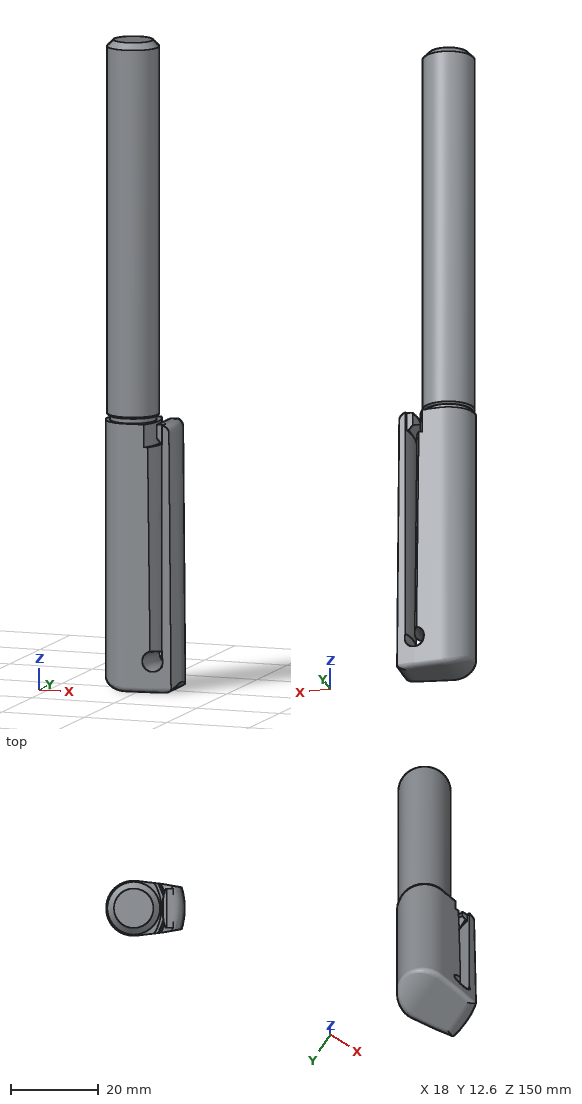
import cadquery as cq
import math

TOTAL_LENGTH = 150.0
BARREL_DIAMETER = 12.0
BARREL_BOTTOM = 63.2
END_CHAMFER = 1.5
MOUTH_CHAMFER = 0.5
NECK_DIAMETER = 10.6
NECK_BOTTOM = 15.0

CAP_HEIGHT = 62.1
CAP_RADIUS = 6.3
CAP_BACK_BOTTOM = 11.7
CLIP_LEAN_ANGLE = 0.5
CAP_BACK_TOP = CAP_BACK_BOTTOM - CAP_HEIGHT * math.tan(math.radians(CLIP_LEAN_ANGLE))
BACK_BULGE = 0.8
TANGENT_X = 0.8
KNEE_X = 6.6
BACK_HALF_WIDTH = 4.8
FRONT_RISE = 2.4
FRONT_RISE_START_X = 0.0
BACK_CORNER_RADIUS = 3.0
BACK_CORNER_CLEARANCE = 0.2
BOTTOM_FILLET = 1.2
CLIP_TOP_RADIUS = 1.8

SLOT_HALF_WIDTH = 6.8
SLOT_BOTTOM = 7.4
SLOT_TOP = CAP_HEIGHT + 1.5
WALL_X_BOTTOM = 7.6
WALL_X_TOP = 7.0
WALL_BULGE = 2.2
CLIP_X = 8.2
CLIP_BULGE = 1.0
MOUTH_BOTTOM = 56.8
MOUTH_WALL_X = 6.3
HOLE_X = 6.8
HOLE_DIAMETER = 3.8
HOLE_FLARE = 0.8
HOOK_NOSE_X = 6.5
HOOK_HALF_WIDTH = 4.5
HOOK_BULGE = 0.9
HOOK_TOP = 61.6
HOOK_BOTTOM = 57.9
HOOK_ROOT_X = 9.0
HOOK_TIP_X = 7.5
HOOK_NOSE_HEIGHT = 2.0
HOOK_NOSE_DEPTH = 0.3


def make_pen():
    """Barrel with a chamfered end and the thinner neck that plugs into the cap."""
    barrel = (
        cq.Workplane("XY", origin=(0, 0, BARREL_BOTTOM))
        .circle(BARREL_DIAMETER / 2)
        .extrude(TOTAL_LENGTH - BARREL_BOTTOM)
        .faces(">Z")
        .chamfer(END_CHAMFER)
        .faces("<Z")
        .chamfer(MOUTH_CHAMFER)
    )
    return barrel.union(make_neck())


def make_neck():
    """Cylinder shared by the pen neck and the matching bore of the cap."""
    return (
        cq.Workplane("XY", origin=(0, 0, NECK_BOTTOM))
        .circle(NECK_DIAMETER / 2)
        .extrude(BARREL_BOTTOM - NECK_BOTTOM)
    )


def cap_outline(plane, back_x):
    """Round front, flat tapering sides and a convex back ending at back_x."""
    tangent_y = math.sqrt(CAP_RADIUS**2 - TANGENT_X**2)
    knee_y = tangent_y - (KNEE_X - TANGENT_X) * TANGENT_X / tangent_y
    corner_x = back_x - BACK_BULGE
    return (
        plane.moveTo(TANGENT_X, tangent_y)
        .threePointArc((-CAP_RADIUS, 0), (TANGENT_X, -tangent_y))
        .lineTo(KNEE_X, -knee_y)
        .lineTo(corner_x, -BACK_HALF_WIDTH)
        .threePointArc((back_x, 0), (corner_x, BACK_HALF_WIDTH))
        .lineTo(KNEE_X, knee_y)
        .close()
    )


def make_cap_blank():
    """Solid cap envelope, rounded at the closed end and at the tip of the clip."""
    blank = cap_outline(cq.Workplane("XY"), CAP_BACK_BOTTOM)
    blank = cap_outline(blank.workplane(offset=CAP_HEIGHT), CAP_BACK_TOP).loft(ruled=True)

    tip_edge = cq.NearestToPointSelector((CAP_BACK_TOP, 0, CAP_HEIGHT))
    blank = blank.edges(tip_edge).fillet(CLIP_TOP_RADIUS)
    blank = blank.cut(make_front_lift())
    return blank.faces("<Z").edges().fillet(BOTTOM_FILLET).cut(make_back_corner())


def make_front_lift():
    """Cutter whose concave arc raises the front of the closed end."""
    length = CAP_RADIUS + FRONT_RISE_START_X
    radius = (length**2 + FRONT_RISE**2) / (2 * FRONT_RISE)
    mid_angle = math.asin(length / radius) / 2
    arc_middle = (FRONT_RISE_START_X - radius * math.sin(mid_angle), radius * (1 - math.cos(mid_angle)))
    return (
        cq.Workplane("XZ")
        .moveTo(-CAP_RADIUS, 0)
        .lineTo(-CAP_RADIUS, FRONT_RISE)
        .threePointArc(arc_middle, (FRONT_RISE_START_X, 0))
        .close()
        .extrude(SLOT_HALF_WIDTH, both=True)
    )


def make_back_corner():
    """Cutter that rounds the back of the closed end."""
    back_x = CAP_BACK_BOTTOM + BACK_CORNER_CLEARANCE
    arc_offset = BACK_CORNER_RADIUS * (1 - math.sqrt(0.5))
    return (
        cq.Workplane("XZ")
        .moveTo(back_x - BACK_CORNER_RADIUS, 0)
        .threePointArc((back_x - arc_offset, arc_offset), (back_x, BACK_CORNER_RADIUS))
        .lineTo(back_x, -BACK_CORNER_CLEARANCE)
        .lineTo(back_x - BACK_CORNER_RADIUS, -BACK_CORNER_CLEARANCE)
        .close()
        .extrude(SLOT_HALF_WIDTH, both=True)
    )


def slot_outline(plane, wall_x):
    """Gap between the convex wall and the convex inner face of the clip."""
    return (
        plane.moveTo(wall_x - WALL_BULGE, -SLOT_HALF_WIDTH)
        .lineTo(CLIP_X + CLIP_BULGE, -SLOT_HALF_WIDTH)
        .threePointArc((CLIP_X, 0), (CLIP_X + CLIP_BULGE, SLOT_HALF_WIDTH))
        .lineTo(wall_x - WALL_BULGE, SLOT_HALF_WIDTH)
        .threePointArc((wall_x, 0), (wall_x - WALL_BULGE, -SLOT_HALF_WIDTH))
        .close()
    )


def make_slot():
    """Narrow tapering slot with a wider mouth at the open end of the cap."""
    slot = slot_outline(cq.Workplane("XY", origin=(0, 0, SLOT_BOTTOM)), WALL_X_BOTTOM)
    slot = slot_outline(slot.workplane(offset=SLOT_TOP - SLOT_BOTTOM), WALL_X_TOP).loft(ruled=True)
    mouth = slot_outline(cq.Workplane("XY", origin=(0, 0, MOUTH_BOTTOM)), MOUTH_WALL_X)
    return slot.union(mouth.extrude(SLOT_TOP - MOUTH_BOTTOM))


def make_hook():
    """Ridge inside the tip of the clip, convex in plan, that reaches towards the wall."""
    nose_bottom = HOOK_TOP - HOOK_NOSE_HEIGHT
    nose_middle = HOOK_TOP - HOOK_NOSE_HEIGHT / 2
    nose_edge_x = HOOK_NOSE_X + HOOK_NOSE_DEPTH
    ridge = (
        cq.Workplane("XZ")
        .moveTo(HOOK_ROOT_X, CAP_HEIGHT)
        .lineTo(HOOK_TIP_X, CAP_HEIGHT)
        .lineTo(nose_edge_x, HOOK_TOP)
        .threePointArc((HOOK_NOSE_X, nose_middle), (nose_edge_x, nose_bottom))
        .lineTo(CLIP_X, HOOK_BOTTOM)
        .lineTo(HOOK_ROOT_X, HOOK_BOTTOM)
        .close()
        .extrude(SLOT_HALF_WIDTH, both=True)
    )
    nose_end_x = HOOK_NOSE_X + HOOK_BULGE
    plan = (
        cq.Workplane("XY", origin=(0, 0, MOUTH_BOTTOM))
        .moveTo(HOOK_ROOT_X, -HOOK_HALF_WIDTH)
        .lineTo(nose_end_x, -HOOK_HALF_WIDTH)
        .threePointArc((HOOK_NOSE_X, 0), (nose_end_x, HOOK_HALF_WIDTH))
        .lineTo(HOOK_ROOT_X, HOOK_HALF_WIDTH)
        .close()
        .extrude(SLOT_TOP - MOUTH_BOTTOM)
    )
    return ridge.intersect(plan)


def make_hole():
    """Relief hole at the foot of the slot, flaring towards both sides of the cap."""
    profile = cq.Workplane("XY", origin=(HOLE_X, 0, SLOT_BOTTOM))
    mouth_radius = HOLE_DIAMETER / 2 + HOLE_FLARE
    return (
        profile.moveTo(0, -SLOT_HALF_WIDTH)
        .lineTo(mouth_radius, -SLOT_HALF_WIDTH)
        .threePointArc((HOLE_DIAMETER / 2, 0), (mouth_radius, SLOT_HALF_WIDTH))
        .lineTo(0, SLOT_HALF_WIDTH)
        .close()
        .revolve(360, (0, 0), (0, 1))
    )


def make_cap():
    """Cap with its integral clip, bored to match the pen neck."""
    blank = make_cap_blank()
    return blank.cut(make_slot()).cut(make_hole()).union(make_hook()).cut(make_neck())


pen = make_pen()
cap = make_cap()
result = cq.Compound.makeCompound([pen.solids().val(), cap.solids().val()])